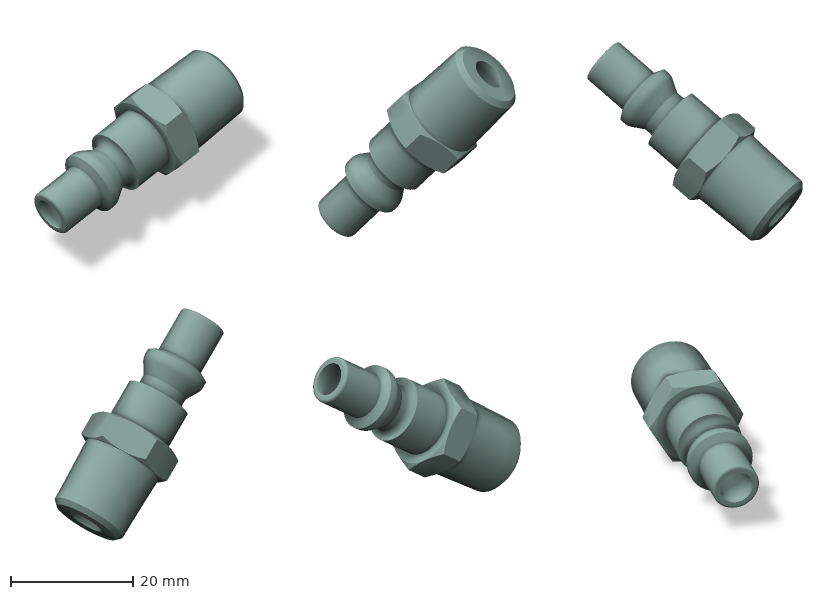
import cadquery as cq
import math

bore_radius = 2.75
tip_radius = 3.98
body_radius = 5.5
gauge_radius = 6.6

collar_start = 8.0
collar_arc_start = 9.67
neck_end = 15.0
hex_start = 22.0
hex_end = 27.0
gauge_plane = 33.0
length = 39.0

tip_fillet = 0.5
collar_arc_radius = 2.35
neck_fillet = 1.0
collar_angle = math.radians(30)
thread_chamfer = 0.85
taper_per_side = 1 / 32

across_flats = 14.0
hex_chamfer_angle = math.radians(30)


def thread_radius(y):
    """Radius of the tapered thread envelope at station y."""
    return gauge_radius - (y - gauge_plane) * taper_per_side


def arc_point(center, radius, angle):
    """Point (r, y) on an arc, with the angle measured from the radial direction."""
    return (center[0] + radius * math.cos(angle), center[1] + radius * math.sin(angle))


def revolve_profile(profile):
    """Close an (r, y) outline and turn it about the Y axis."""
    return profile.close().revolve(360, (0, 0, 0), (0, 1, 0))


def make_plug():
    """Plug end: tip, locking collar, neck and cylindrical body up to the hexagon."""
    radial_step = body_radius - tip_radius
    tip_center = (tip_radius - tip_fillet, tip_fillet)
    collar_rim_start = collar_start + radial_step * math.tan(collar_angle)

    collar_center = (body_radius - collar_arc_radius, collar_arc_start)
    collar_arc_mid = arc_point(collar_center, collar_arc_radius, collar_angle / 2)
    cone_start = arc_point(collar_center, collar_arc_radius, collar_angle)
    neck_start = cone_start[1] + (cone_start[0] - tip_radius) / math.tan(collar_angle)

    neck_center = (tip_radius + neck_fillet, neck_end - neck_fillet)
    profile = (
        cq.Workplane("XY")
        .moveTo(0, 0)
        .lineTo(tip_center[0], 0)
        .threePointArc(arc_point(tip_center, tip_fillet, -math.pi / 4), (tip_radius, tip_fillet))
        .lineTo(tip_radius, collar_start)
        .lineTo(body_radius, collar_rim_start)
        .lineTo(body_radius, collar_arc_start)
        .threePointArc(collar_arc_mid, cone_start)
        .lineTo(tip_radius, neck_start)
        .lineTo(tip_radius, neck_center[1])
        .threePointArc(arc_point(neck_center, neck_fillet, 3 * math.pi / 4), (neck_center[0], neck_end))
        .lineTo(body_radius, neck_end)
        .lineTo(body_radius, hex_start)
        .lineTo(0, hex_start)
    )
    return revolve_profile(profile)


def make_hexagon():
    """Wrench hexagon with corners on X and both ends chamfered by a cone."""
    flat_radius = across_flats / 2
    corner_radius = flat_radius / math.cos(math.pi / 6)
    chamfer_depth = (corner_radius - flat_radius) * math.tan(hex_chamfer_angle)
    prism = (
        cq.Workplane("XZ", origin=(0, hex_start, 0))
        .polygon(6, 2 * corner_radius)
        .extrude(hex_start - hex_end)
    )
    envelope = revolve_profile(
        cq.Workplane("XY")
        .moveTo(0, hex_start)
        .lineTo(flat_radius, hex_start)
        .lineTo(corner_radius, hex_start + chamfer_depth)
        .lineTo(corner_radius, hex_end - chamfer_depth)
        .lineTo(flat_radius, hex_end)
        .lineTo(0, hex_end)
    )
    return prism.intersect(envelope)


def make_thread_end():
    """Tapered pipe thread envelope with a chamfered end."""
    chamfer_start = length - thread_chamfer
    profile = (
        cq.Workplane("XY")
        .moveTo(0, hex_end)
        .lineTo(thread_radius(hex_end), hex_end)
        .lineTo(thread_radius(gauge_plane), gauge_plane)
        .lineTo(thread_radius(chamfer_start), chamfer_start)
        .lineTo(thread_radius(chamfer_start) - thread_chamfer, length)
        .lineTo(0, length)
    )
    return revolve_profile(profile)


bore = cq.Workplane("XZ").circle(bore_radius).extrude(-length)
result = make_plug().union(make_hexagon()).union(make_thread_end()).cut(bore)